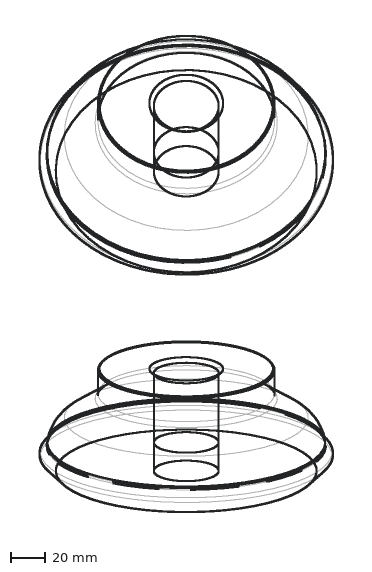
import cadquery as cq
import math

OUTER_DIAMETER = 172.3
HEIGHT = 63.0

RIM_HEIGHT = 17.5
BASE_RADIUS = 76.5
COLLAR_RADIUS = 163.0 / 2
EDGE_ROUND = 2.0
COLLAR_FILLET = 1.4

NECK_RADIUS = 103.5 / 2
NECK_CHAMFER = 0.9
CONE_TOP_RADIUS = 53.4
CONE_TOP_Z = 44.6
NECK_FILLET_TOP_Z = 47.7
CONE_END_RADIUS = 71.5
CONE_END_Z = 32.9

BORE_RADIUS = 38.0 / 2
BORE_CHAMFER = 2.5

SHARP_EDGE_RADIUS = OUTER_DIAMETER / 2 + EDGE_ROUND * (math.sqrt(2) - 1)
SHARP_EDGE_Z = SHARP_EDGE_RADIUS - BASE_RADIUS
COLLAR_FOOT_Z = SHARP_EDGE_Z + SHARP_EDGE_RADIUS - COLLAR_RADIUS


def revolve(profile):
    """Turn a closed (radius, height) profile around the Z axis."""
    return profile.close().revolve(360, (0, 0, 0), (0, 1, 0))


def circle_at(radius, z):
    """Select the circular edge of the given radius, centered at height z."""
    tolerance = 0.02
    reach = radius + tolerance
    return cq.selectors.BoxSelector(
        (-reach, -reach, z - tolerance), (reach, reach, z + tolerance), boundingbox=True
    )


def make_rim():
    rim = revolve(
        cq.Workplane("XZ")
        .moveTo(BORE_RADIUS, 0)
        .lineTo(BASE_RADIUS, 0)
        .lineTo(SHARP_EDGE_RADIUS, SHARP_EDGE_Z)
        .lineTo(COLLAR_RADIUS, COLLAR_FOOT_Z)
        .lineTo(COLLAR_RADIUS, RIM_HEIGHT)
        .lineTo(BORE_RADIUS, RIM_HEIGHT)
    )
    rim = rim.edges(circle_at(SHARP_EDGE_RADIUS, SHARP_EDGE_Z)).fillet(EDGE_ROUND)
    return rim.edges(circle_at(COLLAR_RADIUS, COLLAR_FOOT_Z)).fillet(COLLAR_FILLET)


def make_hub():
    return revolve(
        cq.Workplane("XZ")
        .moveTo(BORE_RADIUS, RIM_HEIGHT)
        .lineTo(BORE_RADIUS, HEIGHT - BORE_CHAMFER)
        .lineTo(BORE_RADIUS + BORE_CHAMFER, HEIGHT)
        .lineTo(NECK_RADIUS - NECK_CHAMFER, HEIGHT)
        .lineTo(NECK_RADIUS, HEIGHT - NECK_CHAMFER)
        .lineTo(NECK_RADIUS, NECK_FILLET_TOP_Z)
        .tangentArcPoint((CONE_TOP_RADIUS, CONE_TOP_Z), relative=False)
        .lineTo(CONE_END_RADIUS, CONE_END_Z)
        .tangentArcPoint((COLLAR_RADIUS, RIM_HEIGHT), relative=False)
    )


rim = make_rim()
hub = make_hub()

result = cq.Compound.makeCompound([rim.val(), hub.val()])